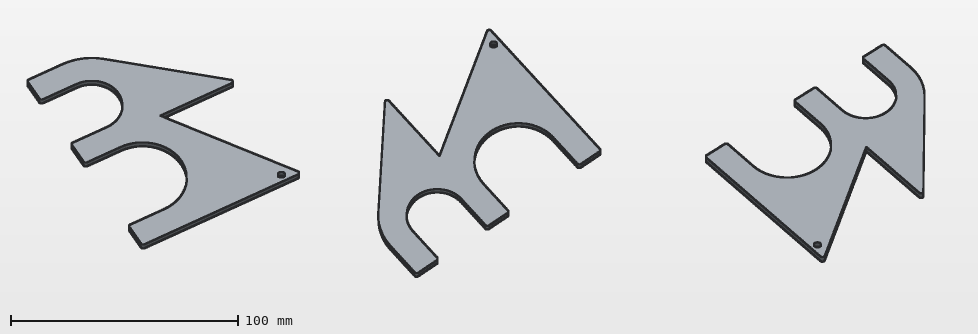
import cadquery as cq
import math

length = 103.5
thickness = 3.0
leg_width = 12.5
spring_height = 18.2
corner_radius = 1.0

small_arch_width = 27.0
large_arch_width = length - 3 * leg_width - small_arch_width
small_arch_x = leg_width + small_arch_width / 2
middle_leg_x = leg_width + small_arch_width
large_arch_x = length - leg_width - large_arch_width / 2

shoulder_radius = small_arch_x

left_slope = math.radians(49)
right_slope = math.radians(33.87)
notch_x = 45.7
notch_height = 41.8

hole_diameter = 3.0
hole_x = length - 3.5
hole_y = 72.3


def shoulder_point(angle):
    """Point on the shoulder arc, at an angle above its horizontal start."""
    return (
        small_arch_x - shoulder_radius * math.cos(angle),
        spring_height + shoulder_radius * math.sin(angle),
    )


def arch_cutter(center_x, width):
    """Round-topped opening that runs down through the bottom edge."""
    radius = width / 2
    return (
        cq.Workplane("XY")
        .moveTo(center_x - radius, 0)
        .lineTo(center_x - radius, spring_height)
        .threePointArc((center_x, spring_height + radius), (center_x + radius, spring_height))
        .lineTo(center_x + radius, 0)
        .close()
        .extrude(thickness)
    )


shoulder_sweep = math.pi / 2 - left_slope
shoulder_end = shoulder_point(shoulder_sweep)
left_peak = (notch_x, shoulder_end[1] + (notch_x - shoulder_end[0]) * math.tan(left_slope))
right_peak = (length, notch_height + (length - notch_x) * math.tan(right_slope))

plate = (
    cq.Workplane("XY")
    .lineTo(0, spring_height)
    .threePointArc(shoulder_point(shoulder_sweep / 2), shoulder_end)
    .lineTo(*left_peak)
    .lineTo(notch_x, notch_height)
    .lineTo(*right_peak)
    .lineTo(length, 0)
    .close()
    .extrude(thickness)
)

plate = plate.cut(arch_cutter(small_arch_x, small_arch_width))
plate = plate.cut(arch_cutter(large_arch_x, large_arch_width))

corners = [left_peak, right_peak]
for leg_x in (0, middle_leg_x, length - leg_width):
    corners += [(leg_x, 0), (leg_x + leg_width, 0)]
for x, y in corners:
    corner_edge = cq.selectors.NearestToPointSelector((x, y, thickness / 2))
    plate = plate.edges("|Z").edges(corner_edge).fillet(corner_radius)

hole = cq.Workplane("XY").center(hole_x, hole_y).circle(hole_diameter / 2).extrude(thickness)
result = plate.cut(hole)